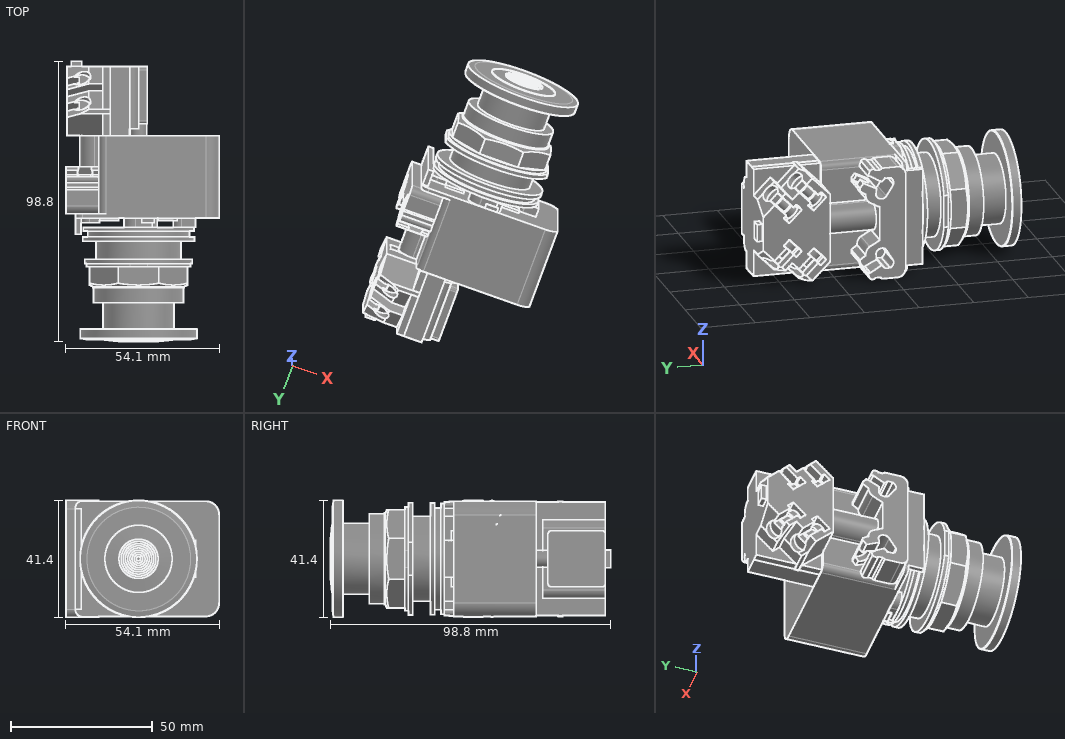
import cadquery as cq
import math


BUTTON_BACK = 4.5
BUSHING_FRONT = 13.6
NUT_FRONT = 19.0
NUT_BACK = 26.3
LOCK_WASHER_BACK = 27.5
WASHER_BACK = 29.05
FLANGE_FRONT = 35.3
FLANGE_BACK = 36.9
ADAPTER_STEP = 38.9
ADAPTER_BACK = 40.2
HOUSING_FRONT = 43.5
PLATE_BACK = 45.0
HOUSING_BACK = 72.5
BLOCK_BACK = 96.9
TAB_BACK = 98.8

BUTTON_RADIUS = 20.7
STEM_RADIUS = 12.5
RIM_CHAMFER = 0.2
RIM_EDGE = 1.1
FACE_EDGE = 0.7
FACE_RADIUS = 18.3
CROWN_RADIUS = 11.9
CROWN_STEP = 0.2
LENS_RADIUS = 6.9
LENS_RINGS = 9
LENS_RING_DEPTH = 0.3

COLLAR_RADIUS = 15.9
NUT_WIDTH = 34.7
NUT_SIDES = 8
NUT_CONE_FRONT_RADIUS = 16.2
NUT_LIP = 0.4
NUT_CONE_LENGTH = 1.2
LOCK_WASHER_RADIUS = 18.6
LOCK_WASHER_WIDTH = 36.7
WASHER_RADIUS = 19.9
WASHER_WIDTH = 37.9
BARREL_RADIUS = 15.0
FLANGE_RADIUS = 19.8

HOUSING_LEFT = -14.0
HOUSING_RIGHT = 28.5
HOUSING_HALF_HEIGHT = 20.4
HOUSING_LEFT_ROUND = 2.5
HOUSING_RIGHT_ROUND = 4.8
PLATE_LEFT = -22.2
PLATE_ROUND = 2.4
STRIP_THICKNESS = 2.0
STRIP_FRONT = 37.7
STRIP_HALF_HEIGHT = 17.7
ADAPTER_NECK_RADIUS = 18.0
ADAPTER_RIM_RADIUS = 19.6
BAR_AXIS_X = -15.5
BAR_RADIUS = 5.2

SIDE_LUG_LEFT = 12.2
SIDE_LUG_RIGHT = 20.2
SIDE_LUG_HALF_HEIGHT = 6.5
SIDE_LUG_ROUND = 3.0
END_LUG_LEFT = -5.1
END_LUG_RIGHT = 5.5
END_LUG_BOTTOM = 15.0
END_LUG_TOP = 19.8
END_LUG_ROUND = 4.0
END_RIB_LEFT = 1.1
END_RIB_FRONT = 41.9
END_RIB_TOP = 20.3
PEG_RADIUS = 1.1
PEG_Z = 19.0
LEFT_PAD_LEFT = -20.3
LEFT_PAD_FRONT = 41.8
THIN_PAD_FRONT = 42.6
THIN_PAD_INNER = 6.9
THIN_PAD_OUTER = 13.7
THIN_PAD_HALF_HEIGHT = 9.9

BRACKET_LEFT = -25.6
BRACKET_HALF_HEIGHT = 20.7
BRACKET_ROUND = 3.0
WIRE_HOLE_X = -18.9
WIRE_HOLE_RADIUS = 2.8
WIRE_HOLE_Y = 59.1
WIRE_HOLE_Z = 14.9
JAW_WEB_BACK = 54.3
JAW_TIP_BACK = 61.7
TOP_GROOVE_HEIGHT = 20.1
CAVITY_FRONT = 49.4
CAVITY_TOP = 16.8
JAW_ANGLE = 29.0
JAW_HOLE_DEPTH = 2.2

BLOCK_LEFT = -25.2
TERMINAL_RIGHT = -12.5
CREST_RIGHT = -9.9
BLOCK_HALF_HEIGHT = 20.1
BLOCK_RIGHT = -3.2
FRONT_STRIP_HALF_HEIGHT = 20.0
SHOULDER_RIGHT = 0.1
SHOULDER_HALF_HEIGHT = 13.8
SHOULDER_FRONT = 74.9
SHOULDER_ROUND = 3.0
CREST_HEIGHT = 20.4
RAIL_RIGHT = 3.2
RAIL_FRONT = 76.7
RAIL_HALF_HEIGHT = 9.9
RAIL_ROUND = 1.2
PLUNGER_RADIUS = 3.0
TAB_LEFT = -23.7
TAB_RIGHT = -20.0
TAB_HALF_HEIGHT = 3.2
TAB_SLOT_DEPTH = 3.0

REAR_TOOTH_SUM = 107.2
FRONT_TOOTH_SUM = 102.2
TOOTH_DIFFERENCE = 74.4
CREST_FRONT = 80.2
BEVEL_START = -17.5
BEVEL_DEPTH = 2.9

REAR_SCREW_DIFFERENCE = 79.7
FRONT_SCREW_DIFFERENCE = 66.9
SCREW_TILT = -45
SCREW_X = -20.0
MOUTH_RADIUS = 3.1
MOUTH_DEPTH = 2.4
CHANNEL_HALF_WIDTH = 1.9
CHANNEL_FLOOR = -20.9
SHANK_RADIUS = 2.0
SHANK_START = 4.8
HEAD_POCKET_START = 8.9
HEAD_POCKET_END = 11.8
HEAD_POCKET_HALF_WIDTH = 3.3
HEAD_POCKET_FLOOR = -21.6
HEAD_RADIUS = 3.0


def block(x0, x1, y0, y1, z0, z1):
    """Rectangular block between the given limits."""
    return cq.Workplane("XY").box(x1 - x0, y1 - y0, z1 - z0, centered=False).translate((x0, y0, z0))


def slab(x0, x1, y0, y1, half_height):
    """Rectangular block centered on the plane Z = 0."""
    return block(x0, x1, y0, y1, -half_height, half_height)


def disc(radius, y0, y1, x=0.0):
    """Cylinder along Y between y0 and y1."""
    return cq.Workplane("XZ", origin=(x, y0, 0)).circle(radius).extrude(-(y1 - y0))


def mirrored(shape):
    """Shape together with its copy across the plane Z = 0."""
    return shape.union(shape.mirror("XY"))



def make_button():
    """Mushroom button: stem, disc, crown and a dished lens of stepped rings."""
    ring_width = LENS_RADIUS / LENS_RINGS
    outline = (
        cq.Workplane("XY")
        .moveTo(0, BUSHING_FRONT)
        .lineTo(STEM_RADIUS, BUSHING_FRONT)
        .lineTo(STEM_RADIUS, BUTTON_BACK)
        .lineTo(BUTTON_RADIUS - RIM_CHAMFER, BUTTON_BACK)
        .lineTo(BUTTON_RADIUS, BUTTON_BACK - RIM_CHAMFER)
        .lineTo(BUTTON_RADIUS, RIM_EDGE)
        .lineTo(FACE_RADIUS, FACE_EDGE)
        .lineTo(CROWN_RADIUS, FACE_EDGE)
        .lineTo(CROWN_RADIUS, FACE_EDGE - CROWN_STEP)
        .lineTo(LENS_RADIUS, 0)
    )
    for ring in range(LENS_RINGS):
        depth = (ring + 1) * LENS_RING_DEPTH
        outline = outline.lineTo(LENS_RADIUS - ring * ring_width, depth)
        outline = outline.lineTo(LENS_RADIUS - (ring + 1) * ring_width, depth)
    return outline.close().revolve(360, (0, 0, 0), (0, 1, 0))



def make_nut():
    """Octagonal nut whose front corners are turned to a cone."""
    corner_diameter = NUT_WIDTH / math.cos(math.pi / NUT_SIDES)
    prism = (
        cq.Workplane("XZ", origin=(0, NUT_FRONT, 0))
        .transformed(rotate=(0, 0, 180 / NUT_SIDES))
        .polygon(NUT_SIDES, corner_diameter)
        .extrude(NUT_FRONT - NUT_BACK)
    )
    corner_radius = corner_diameter / 2
    envelope = (
        cq.Workplane("XY")
        .moveTo(0, NUT_FRONT)
        .lineTo(NUT_CONE_FRONT_RADIUS, NUT_FRONT)
        .lineTo(NUT_CONE_FRONT_RADIUS, NUT_FRONT + NUT_LIP)
        .lineTo(corner_radius, NUT_FRONT + NUT_LIP + NUT_CONE_LENGTH)
        .lineTo(corner_radius, NUT_BACK)
        .lineTo(0, NUT_BACK)
        .close()
        .revolve(360, (0, 0, 0), (0, 1, 0))
    )
    return prism.intersect(envelope)


def make_bushing():
    """Threaded bushing with its collar, nut, washers and mounting flange."""
    half_lock = LOCK_WASHER_WIDTH / 2
    lock_washer = disc(LOCK_WASHER_RADIUS, NUT_BACK, LOCK_WASHER_BACK).intersect(
        slab(-half_lock, half_lock, NUT_BACK, LOCK_WASHER_BACK, half_lock)
    )
    half_washer = WASHER_WIDTH / 2
    washer = disc(WASHER_RADIUS, LOCK_WASHER_BACK, WASHER_BACK).intersect(
        slab(-half_washer, half_washer, LOCK_WASHER_BACK, WASHER_BACK, WASHER_RADIUS)
    )
    return (
        disc(COLLAR_RADIUS, BUSHING_FRONT, NUT_FRONT)
        .union(make_nut())
        .union(lock_washer)
        .union(washer)
        .union(disc(BARREL_RADIUS, WASHER_BACK, FLANGE_FRONT))
        .union(disc(FLANGE_RADIUS, FLANGE_FRONT, FLANGE_BACK))
    )



def make_housing_shell():
    """Main box with its wider front plate and the strip on the plate's left edge."""
    half = HOUSING_HALF_HEIGHT
    box = slab(HOUSING_LEFT, HOUSING_RIGHT, PLATE_BACK, HOUSING_BACK, half)
    box = box.edges("|Y and <X").fillet(HOUSING_LEFT_ROUND)
    box = box.edges("|Y and >X").fillet(HOUSING_RIGHT_ROUND)
    plate = slab(PLATE_LEFT, HOUSING_RIGHT, HOUSING_FRONT, PLATE_BACK, half)
    plate = plate.edges("|Y and <X").fillet(PLATE_ROUND)
    plate = plate.edges("|Y and >X").fillet(HOUSING_RIGHT_ROUND)
    strip = slab(PLATE_LEFT, PLATE_LEFT + STRIP_THICKNESS, STRIP_FRONT, PLATE_BACK, STRIP_HALF_HEIGHT)
    return box.union(plate).union(strip)


def make_lugs():
    """Lugs that carry the adapter ring, and the low pads beside them."""
    side_lug = slab(SIDE_LUG_LEFT, SIDE_LUG_RIGHT, ADAPTER_BACK, HOUSING_FRONT, SIDE_LUG_HALF_HEIGHT)
    end_lug = block(END_LUG_LEFT, END_LUG_RIGHT, ADAPTER_BACK, HOUSING_FRONT, END_LUG_BOTTOM, END_LUG_TOP)
    end_lug = end_lug.edges("|Y and <X and >Z").fillet(END_LUG_ROUND)
    end_rib = block(END_RIB_LEFT, END_LUG_RIGHT, END_RIB_FRONT, HOUSING_FRONT, END_LUG_BOTTOM, END_RIB_TOP)
    peg = disc(PEG_RADIUS, ADAPTER_BACK, HOUSING_FRONT, END_LUG_RIGHT).translate((0, 0, PEG_Z))
    end_lug = end_lug.union(end_rib).union(peg)
    left_pad = slab(LEFT_PAD_LEFT, -THIN_PAD_OUTER, LEFT_PAD_FRONT, HOUSING_FRONT, SIDE_LUG_HALF_HEIGHT)
    side_lug = side_lug.edges("|Y and <X").fillet(SIDE_LUG_ROUND)
    left_pad = left_pad.edges("|Y and <X").fillet(SIDE_LUG_ROUND)
    lugs = side_lug.union(mirrored(end_lug)).union(left_pad)
    for inner in (-THIN_PAD_OUTER, THIN_PAD_INNER):
        outer = inner + THIN_PAD_OUTER - THIN_PAD_INNER
        lugs = lugs.union(slab(inner, outer, THIN_PAD_FRONT, HOUSING_FRONT, THIN_PAD_HALF_HEIGHT))
    return lugs


def make_terminal_bracket():
    """Bracket with a pair of wire jaws above and below; the outline lies in the YZ plane."""
    round_middle = BRACKET_ROUND * (1 - math.sqrt(0.5))
    upper_half = (
        cq.Workplane("YZ", origin=(BRACKET_LEFT, 0, 0))
        .moveTo(PLATE_BACK, 0)
        .lineTo(PLATE_BACK, BRACKET_HALF_HEIGHT - BRACKET_ROUND)
        .threePointArc(
            (PLATE_BACK + round_middle, BRACKET_HALF_HEIGHT - round_middle),
            (PLATE_BACK + BRACKET_ROUND, BRACKET_HALF_HEIGHT),
        )
        .lineTo(53.6, BRACKET_HALF_HEIGHT)
        .lineTo(JAW_WEB_BACK, TOP_GROOVE_HEIGHT)
        .lineTo(55.9, TOP_GROOVE_HEIGHT)
        .threePointArc((56.9, 20.6), (58.1, 20.0))
        .lineTo(58.7, 18.1)
        .lineTo(57.8, 18.0)
        .lineTo(53.8, 15.5)
        .lineTo(52.5, CAVITY_TOP)
        .lineTo(50.6, CAVITY_TOP)
        .threePointArc((49.6, 15.8), (CAVITY_FRONT, 14.2))
        .lineTo(52.0, 10.1)
        .threePointArc((54.3, 9.3), (55.8, 11.3))
        .lineTo(55.5, 13.1)
        .lineTo(60.4, 15.6)
        .lineTo(JAW_TIP_BACK, 13.9)
        .lineTo(JAW_TIP_BACK, 12.8)
        .lineTo(59.5, 11.3)
        .threePointArc((59.2, 9.5), (58.1, 8.2))
        .lineTo(JAW_WEB_BACK, 6.1)
        .lineTo(JAW_WEB_BACK, 0)
        .close()
        .extrude(HOUSING_LEFT - BRACKET_LEFT)
    )
    wire_hole = (
        cq.Workplane("XY")
        .circle(WIRE_HOLE_RADIUS)
        .extrude(2 * JAW_HOLE_DEPTH)
        .translate((0, 0, -JAW_HOLE_DEPTH))
        .rotate((0, 0, 0), (1, 0, 0), JAW_ANGLE)
        .translate((WIRE_HOLE_X, WIRE_HOLE_Y, WIRE_HOLE_Z))
    )
    return mirrored(upper_half.cut(wire_hole))


def make_housing():
    """Housing with its terminal bracket, connecting bar, lugs and adapter ring."""
    bar = disc(BAR_RADIUS, PLATE_BACK, HOUSING_BACK, BAR_AXIS_X).union(
        slab(BAR_AXIS_X, HOUSING_LEFT, PLATE_BACK, HOUSING_BACK, BAR_RADIUS)
    )
    bar = bar.intersect(slab(BRACKET_LEFT, HOUSING_LEFT, PLATE_BACK, HOUSING_BACK, BAR_RADIUS))
    return (
        make_housing_shell()
        .union(make_terminal_bracket())
        .union(bar)
        .union(make_lugs())
        .union(disc(ADAPTER_RIM_RADIUS, ADAPTER_STEP, ADAPTER_BACK))
        .union(disc(ADAPTER_NECK_RADIUS, FLANGE_BACK, ADAPTER_STEP))
    )



def in_screw_frame(shape, face_sum, screw_difference):
    """Move a shape drawn with +Z out of a tooth face, and the screw axis on Z, to that tooth."""
    face_y = (face_sum + screw_difference) / 2
    face_z = (face_sum - screw_difference) / 2
    return shape.rotate((0, 0, 0), (1, 0, 0), SCREW_TILT).translate((0, face_y, face_z))


def cut_screw(body, face_sum, screw_difference):
    """Cut the stepped recess of one terminal screw and stand the screw in it."""
    mouth = cq.Workplane("XY").center(SCREW_X, 0).circle(MOUTH_RADIUS).extrude(-MOUTH_DEPTH)
    channel = block(BLOCK_LEFT, CHANNEL_FLOOR, -CHANNEL_HALF_WIDTH, CHANNEL_HALF_WIDTH, -HEAD_POCKET_START, 0)
    head_pocket = block(
        BLOCK_LEFT,
        HEAD_POCKET_FLOOR,
        -HEAD_POCKET_HALF_WIDTH,
        HEAD_POCKET_HALF_WIDTH,
        -HEAD_POCKET_END,
        -HEAD_POCKET_START,
    )
    recess = mouth.union(channel).union(head_pocket)
    shank = (
        cq.Workplane("XY", origin=(SCREW_X, 0, -HEAD_POCKET_START))
        .circle(SHANK_RADIUS)
        .extrude(HEAD_POCKET_START - SHANK_START)
    )
    head = (
        cq.Workplane("XY", origin=(SCREW_X, 0, -HEAD_POCKET_END))
        .circle(HEAD_RADIUS)
        .extrude(HEAD_POCKET_END - HEAD_POCKET_START)
    )
    body = body.cut(in_screw_frame(recess, face_sum, screw_difference))
    return body.union(in_screw_frame(shank.union(head), face_sum, screw_difference))


def cut_bevel(body, face_sum, start_difference, end_difference):
    """Bevel the outer part of a tooth face between two places along the face."""
    half_length = (start_difference - end_difference) / math.sqrt(2) / 2
    wedge = (
        cq.Workplane("XZ", origin=(0, half_length, 0))
        .moveTo(BEVEL_START, 0)
        .lineTo(BLOCK_LEFT, 0)
        .lineTo(BLOCK_LEFT, -BEVEL_DEPTH)
        .close()
        .extrude(2 * half_length)
    )
    return body.cut(in_screw_frame(wedge, face_sum, (start_difference + end_difference) / 2))


def make_terminal_half():
    """Upper half of the terminal part: two teeth, beveled and fitted with screws."""
    apex_y = (REAR_TOOTH_SUM + TOOTH_DIFFERENCE) / 2
    valley_y = (FRONT_TOOTH_SUM + TOOTH_DIFFERENCE) / 2
    crest_back = FRONT_TOOTH_SUM - CREST_HEIGHT
    crest_difference = CREST_FRONT - CREST_HEIGHT
    half = (
        cq.Workplane("YZ", origin=(BLOCK_LEFT, 0, 0))
        .polyline([
            (HOUSING_BACK, 0),
            (HOUSING_BACK, HOUSING_BACK - crest_difference),
            (CREST_FRONT, CREST_HEIGHT),
            (crest_back, CREST_HEIGHT),
            (valley_y, valley_y - TOOTH_DIFFERENCE),
            (apex_y, apex_y - TOOTH_DIFFERENCE),
            (BLOCK_BACK, REAR_TOOTH_SUM - BLOCK_BACK),
            (BLOCK_BACK, 0),
        ])
        .close()
        .extrude(TERMINAL_RIGHT - BLOCK_LEFT)
    )
    rear_end_difference = 2 * BLOCK_BACK - REAR_TOOTH_SUM + 2 * BEVEL_DEPTH * math.sqrt(2)
    half = cut_bevel(half, REAR_TOOTH_SUM, rear_end_difference, TOOTH_DIFFERENCE)
    half = cut_bevel(half, FRONT_TOOTH_SUM, TOOTH_DIFFERENCE, crest_difference)
    half = cut_screw(half, REAR_TOOTH_SUM, REAR_SCREW_DIFFERENCE)
    return cut_screw(half, FRONT_TOOTH_SUM, FRONT_SCREW_DIFFERENCE)


def make_contact_block():
    """Contact block: base with a rounded right shoulder and rail, terminals, plunger and tab."""
    half = BLOCK_HALF_HEIGHT
    base = slab(CREST_RIGHT, BLOCK_RIGHT, HOUSING_BACK, BLOCK_BACK, half)
    front_strip = slab(TERMINAL_RIGHT, CREST_RIGHT, HOUSING_BACK, BLOCK_BACK, FRONT_STRIP_HALF_HEIGHT)
    shoulder = slab(BLOCK_RIGHT, SHOULDER_RIGHT, SHOULDER_FRONT, BLOCK_BACK, SHOULDER_HALF_HEIGHT)
    shoulder = shoulder.edges("|Y and >X").fillet(SHOULDER_ROUND)
    base = base.union(front_strip).union(shoulder)
    crest_strip = slab(TERMINAL_RIGHT, CREST_RIGHT, CREST_FRONT, FRONT_TOOTH_SUM - CREST_HEIGHT, CREST_HEIGHT)
    rail = slab(BLOCK_RIGHT, RAIL_RIGHT, RAIL_FRONT, BLOCK_BACK, RAIL_HALF_HEIGHT)
    rail = rail.edges("|X").fillet(RAIL_ROUND)
    plunger = disc(PLUNGER_RADIUS, HOUSING_BACK, RAIL_FRONT)
    tab = slab(TAB_LEFT, TAB_RIGHT, BLOCK_BACK, TAB_BACK, TAB_HALF_HEIGHT)
    tab_slot = slab(TAB_LEFT, TAB_RIGHT, HOUSING_BACK, HOUSING_BACK + TAB_SLOT_DEPTH, TAB_HALF_HEIGHT)
    terminals = mirrored(make_terminal_half())
    return base.union(crest_strip).union(rail).union(plunger).union(terminals).union(tab).cut(tab_slot)


button = make_button()
bushing = make_bushing()
housing = make_housing()
contact_block = make_contact_block()

result = cq.Compound.makeCompound([
    button.solids().val(),
    bushing.solids().val(),
    housing.solids().val(),
    contact_block.solids().val(),
])